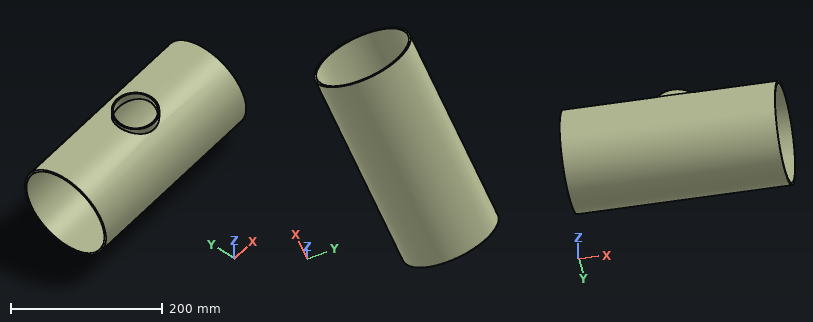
import cadquery as cq

pipe_length = 290.0
pipe_outer_diameter = 139.8
pipe_inner_diameter = 133.7

branch_outer_diameter = 63.5
branch_inner_diameter = 59.5
branch_projection = 5.8
branch_top = pipe_outer_diameter / 2 + branch_projection


def pipe_cylinder(diameter):
    """Solid cylinder along the full length of the pipe."""
    return cq.Workplane("YZ").circle(diameter / 2).extrude(pipe_length / 2, both=True)


def branch_cylinder(diameter):
    """Solid cylinder from the pipe axis to the top of the branch."""
    return cq.Workplane("XY").circle(diameter / 2).extrude(branch_top)


outer_body = pipe_cylinder(pipe_outer_diameter).union(branch_cylinder(branch_outer_diameter))

result = outer_body.cut(pipe_cylinder(pipe_inner_diameter)).cut(branch_cylinder(branch_inner_diameter))